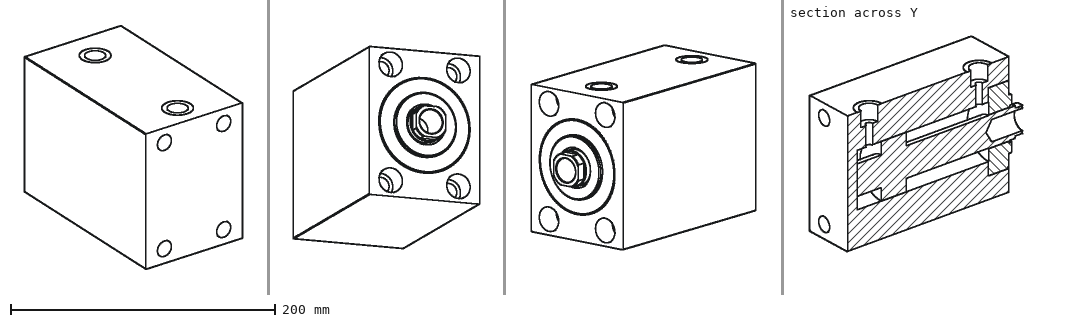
import cadquery as cq
import math


block_length = 158.0
block_width = 90.0
block_height = 115.0
edge_chamfer = 0.5

bore_diameter = 50.0
bore_end = 148.0
seat_diameter = 74.0
seat_depth = 20.0

mount_spacing_y = 55.0
mount_spacing_z = 90.0
mount_hole_diameter = 13.0
mount_head_diameter = 19.0
mount_head_depth = 20.0

port_positions = (29.0, 136.5)
spotface_diameter = 24.0
spotface_depth = 0.2
port_diameter = 16.0
port_depth = 14.0
oilway_diameter = 6.0

collar_diameter = 50.0
collar_height = 3.1
collar_chamfer = 1.0
flange_chamfer = 1.0
wiper_diameter = 31.4
wiper_depth = 2.0

rod_diameter = 28.0
rod_front = -6.5
rod_chamfer = 0.5
head_length = 7.0
head_diameter = 27.0
head_chamfer = 0.5
flats_width = 24.0
piston_start = 100.0
piston_length = 25.0

socket_diameter = 18.5
socket_depth = 30.0
socket_chamfer = 0.5
socket_point_angle = 118.0


def x_cylinder(diameter, start, end):
    """Solid cylinder on the X axis between two X positions."""
    radius = diameter / 2
    return (
        cq.Workplane("XZ")
        .moveTo(start, 0)
        .lineTo(start, radius)
        .lineTo(end, radius)
        .lineTo(end, 0)
        .close()
        .revolve(360, (0, 0, 0), (1, 0, 0))
    )


def make_mount_holes():
    """Four through holes with deep counterbores from the front face."""
    centres = cq.Workplane("YZ").rarray(mount_spacing_y, mount_spacing_z, 2, 2)
    through = centres.circle(mount_hole_diameter / 2).extrude(block_length)
    heads = centres.circle(mount_head_diameter / 2).extrude(mount_head_depth)
    return through.union(heads)


def make_port(x):
    """Spotfaced oil port from the top face, with an oilway down to the bore."""
    top = cq.Workplane("XY", origin=(x, 0, block_height / 2))
    spotface = top.circle(spotface_diameter / 2).extrude(-spotface_depth)
    port = top.circle(port_diameter / 2).extrude(-port_depth)
    oilway = top.circle(oilway_diameter / 2).extrude(-block_height / 2)
    return spotface.union(port).union(oilway)


def make_housing():
    block = (
        cq.Workplane("XY")
        .box(block_length, block_width, block_height)
        .translate((block_length / 2, 0, 0))
        .edges("|X")
        .chamfer(edge_chamfer)
    )
    block = block.cut(x_cylinder(seat_diameter, 0, seat_depth))
    block = block.cut(x_cylinder(bore_diameter, 0, bore_end))
    block = block.cut(make_mount_holes())
    for x in port_positions:
        block = block.cut(make_port(x))
    return block


def make_gland():
    """Flange flush with the housing, a raised collar and a wiper recess."""
    flange = x_cylinder(seat_diameter, 0, seat_depth).faces("<X").chamfer(flange_chamfer)
    collar = x_cylinder(collar_diameter, -collar_height, seat_depth)
    collar = collar.faces("<X").chamfer(collar_chamfer)
    wiper_recess = x_cylinder(wiper_diameter, -collar_height, wiper_depth - collar_height)
    rod_hole = x_cylinder(rod_diameter, -collar_height, seat_depth)
    return flange.union(collar).cut(wiper_recess).cut(rod_hole)


def make_socket(front):
    """Drilled socket with a countersunk mouth and a conical bottom."""
    radius = socket_diameter / 2
    floor = front + socket_depth
    point_length = radius / math.tan(math.radians(socket_point_angle / 2))
    return (
        cq.Workplane("XZ")
        .moveTo(front, 0)
        .lineTo(front, radius + socket_chamfer)
        .lineTo(front + socket_chamfer, radius)
        .lineTo(floor, radius)
        .lineTo(floor + point_length, 0)
        .close()
        .revolve(360, (0, 0, 0), (1, 0, 0))
    )


def make_rod():
    head_front = rod_front - head_length
    shaft = x_cylinder(rod_diameter, rod_front, bore_end).faces("<X").chamfer(rod_chamfer)
    piston = x_cylinder(bore_diameter, piston_start, piston_start + piston_length)
    flats = (
        cq.Workplane("YZ", origin=(head_front, 0, 0))
        .rect(flats_width, flats_width)
        .extrude(head_length)
    )
    head = x_cylinder(head_diameter, head_front, rod_front).faces("<X").chamfer(head_chamfer)
    head = head.intersect(flats)
    return shaft.union(piston).union(head).cut(make_socket(head_front))


housing = make_housing()
gland = make_gland()
rod = make_rod()

result = cq.Compound.makeCompound([housing.val(), gland.val(), rod.val()])